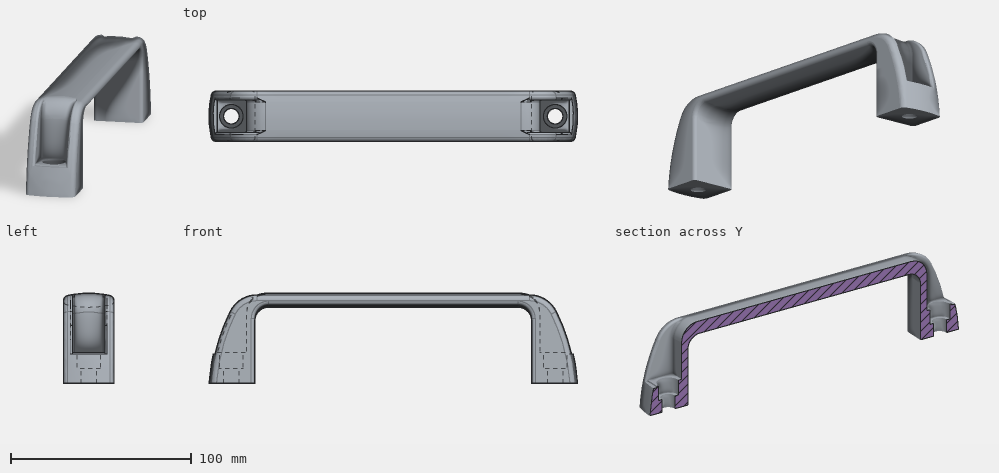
import math

import cadquery as cq

length = 203.86
width = 28.0
height = 49.93
half_length = length / 2
half_width = width / 2

crown_radius = 53.0
corner_radius = 17.6
corner_tilt = math.radians(26.5)
corner_center_x = 75.3
corner_center_z = height - corner_radius

opening_half_length = 76.5
grip_thickness = 7.9
opening_radius = 7.5

outer_edge_radius = 3.0
inner_edge_radius = 2.0

pocket_half_width = 8.9
pocket_floor_z = 17.1
pocket_back_x = 81.0
pocket_lip_radius = 10.5
pocket_corner_radius = 1.0
pocket_mouth_radius = 1.2
floor_edge_radius = 0.8

screw_spacing = 179.0
screw_hole_diameter = 8.5
counterbore_diameter = 13.0
counterbore_depth = 9.0

margin = 5.0
trim_depth = 30.0
tolerance = 0.01


def crest_path():
    """Centre line of the outer skin on the +X half, from mid grip to below the foot."""
    normal_x = math.cos(corner_tilt)
    normal_z = math.sin(corner_tilt)
    joint_x = corner_center_x + corner_radius * normal_x
    joint_z = corner_center_z + corner_radius * normal_z

    run = half_length - joint_x
    leg_radius = (run ** 2 + joint_z ** 2) / (2 * (joint_z * normal_z - run * normal_x))
    leg_center_x = joint_x - leg_radius * normal_x
    leg_center_z = joint_z - leg_radius * normal_z

    def leg_point(z):
        return leg_center_x + math.sqrt(leg_radius ** 2 - (z - leg_center_z) ** 2), z

    corner_mid_angle = (corner_tilt + math.pi / 2) / 2
    corner_mid = (
        corner_center_x + corner_radius * math.cos(corner_mid_angle),
        corner_center_z + corner_radius * math.sin(corner_mid_angle),
    )
    return (
        cq.Workplane("XZ")
        .moveTo(0, height)
        .lineTo(corner_center_x, height)
        .threePointArc(corner_mid, (joint_x, joint_z))
        .threePointArc(leg_point(joint_z / 2), leg_point(-margin))
    )


def crown_drop(y):
    """Fall of the crown below its crest at a distance y from the middle plane."""
    return crown_radius - math.sqrt(crown_radius ** 2 - y ** 2)


def crown_profile(crest_z, flat_z, bulge):
    """Section across Y: an arc through crest_z bulging up (1) or down (-1), and a flat at flat_z."""
    reach = half_width + margin
    edge_z = crest_z - bulge * crown_drop(reach)
    return (
        cq.Workplane("YZ")
        .moveTo(-reach, edge_z)
        .threePointArc((0, crest_z), (reach, edge_z))
        .lineTo(reach, flat_z)
        .lineTo(-reach, flat_z)
        .close()
    )


def hand_opening():
    """Half of the opening between the legs; its roof bulges down like the crown."""
    opening = crown_profile(height - grip_thickness, -margin, -1).extrude(opening_half_length)
    return opening.faces(">X").edges(">Z").fillet(opening_radius)


def side_edges(body, on_opening):
    """Long edges of the two flat sides: along the hand opening, or along the outer skin."""
    chosen = []
    for edge in body.faces("<Y or >Y").edges().vals():
        center = edge.Center()
        box = edge.BoundingBox()
        if box.zmax < tolerance or box.xmax < tolerance:
            continue
        under_grip = center.x < opening_half_length + tolerance and center.z < height - grip_thickness / 2
        if under_grip == on_opening:
            chosen.append(edge)
    return body.newObject(chosen)


def half_handle():
    """The +X half with its rounded side edges."""
    block = cq.Workplane("XY").box(
        half_length + margin, width, height + margin, centered=(False, True, False)
    )
    outer_trim = crown_profile(height, height + trim_depth, 1).sweep(crest_path())
    body = block.cut(outer_trim).cut(hand_opening())
    body = side_edges(body, True).fillet(inner_edge_radius)
    return side_edges(body, False).fillet(outer_edge_radius)


def pocket_mouth():
    """Flare that rounds the side edges of the screw pocket, following the outer skin."""
    flare_half_width = pocket_half_width + pocket_mouth_radius
    skin_z = height - crown_drop(flare_half_width)
    depth_z = skin_z - pocket_mouth_radius
    bend = pocket_mouth_radius * (1 - math.sqrt(0.5))
    section = (
        cq.Workplane("YZ")
        .moveTo(-pocket_half_width, depth_z)
        .lineTo(pocket_half_width, depth_z)
        .threePointArc((pocket_half_width + bend, skin_z - bend), (flare_half_width, skin_z))
        .lineTo(flare_half_width, skin_z + margin)
        .lineTo(-flare_half_width, skin_z + margin)
        .lineTo(-flare_half_width, skin_z)
        .threePointArc((-pocket_half_width - bend, skin_z - bend), (-pocket_half_width, depth_z))
        .close()
    )
    lip_end_x = pocket_back_x - pocket_lip_radius
    footprint = (
        cq.Workplane("XY", origin=(0, 0, pocket_floor_z - floor_edge_radius))
        .moveTo(lip_end_x, pocket_half_width - pocket_corner_radius)
        .lineTo(corner_center_x, flare_half_width)
        .lineTo(half_length + margin, flare_half_width)
        .lineTo(half_length + margin, -flare_half_width)
        .lineTo(corner_center_x, -flare_half_width)
        .lineTo(lip_end_x, -pocket_half_width + pocket_corner_radius)
        .close()
        .extrude(height)
    )
    return section.sweep(crest_path()).intersect(footprint).cut(pocket_tongue())


def pocket_tongue():
    """Grip end left standing behind the pocket, with its rounded lip."""
    tongue = crown_profile(height, -margin, 1).extrude(pocket_back_x)
    return tongue.faces(">X").edges(">Z").fillet(pocket_lip_radius)


def back_corner_edges(recess):
    """Edges of the recess where its side walls meet the tongue."""
    chosen = []
    for edge in recess.faces("<Y or >Y").edges().vals():
        box = edge.BoundingBox()
        on_tongue = box.xmax < pocket_back_x + tolerance and box.zmin < height - pocket_lip_radius
        if on_tongue and box.zmax < height:
            chosen.append(edge)
    return recess.newObject(chosen)


def screw_pocket():
    """Recess open to the outer skin, with a rounded lip rising onto the grip."""
    recess = cq.Workplane("XY", origin=(pocket_back_x - pocket_lip_radius, 0, pocket_floor_z)).box(
        half_length, 2 * pocket_half_width, height, centered=(False, True, False)
    )
    return back_corner_edges(recess.cut(pocket_tongue())).fillet(pocket_corner_radius)


def screw_seat():
    """Screw hole through the foot with a counterbore sunk into the pocket floor."""
    floor = cq.Workplane("XY", origin=(screw_spacing / 2, 0, pocket_floor_z))
    hole = floor.circle(screw_hole_diameter / 2).extrude(-pocket_floor_z - margin)
    counterbore = floor.circle(counterbore_diameter / 2).extrude(-counterbore_depth)
    return hole.union(counterbore)


def front_floor_edge(body):
    """Edge where the pocket floor meets the outer skin."""
    near_edge = (half_length, 0, pocket_floor_z)
    return body.edges(cq.selectors.NearestToPointSelector(near_edge))


half = half_handle().cut(screw_pocket())
half = front_floor_edge(half).fillet(floor_edge_radius)
half = half.cut(pocket_mouth()).cut(screw_seat())
result = half.union(half.mirror("YZ"))